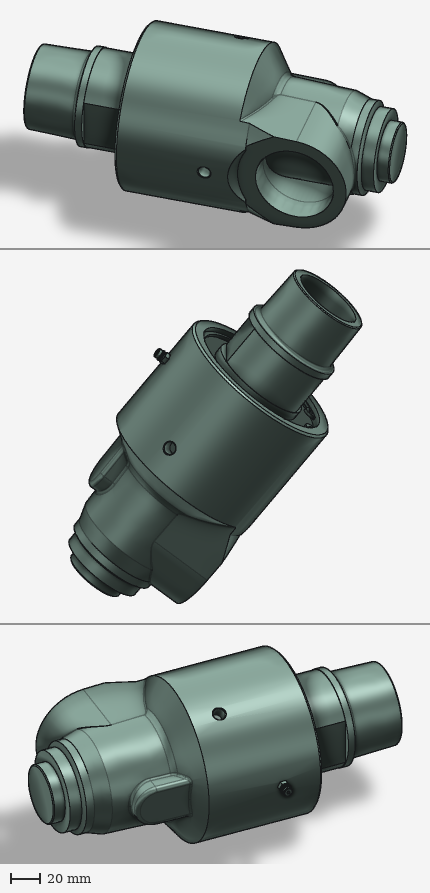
import cadquery as cq
import math

drum_radius = 117.5 / 2
drum_start = 73.2
drum_end = 158.0
drum_chamfer = 1.5

cone_rim = 123.3
neck_start = 173.0
neck_end = 220.0
neck_start_radius = 38.5
neck_end_radius = 36.7
neck_fillet = 5.7
shoulder_start = 231.7
shoulder_end = 237.5
shoulder_radius = 33.0
rear_collar_start = 239.4
rear_collar_end = 248.0
rear_collar_radius = 58.0 / 2
tail_end = 256.8
tail_radius = 21.0
edge_break = 0.8

nipple_tip_radius = 29.5
nipple_root = 35.2
nipple_root_radius = 30.5
root_fillet = 2.7
front_collar_end = 43.0
collar_radius = 69.5 / 2
shank_radius = 68.8 / 2
shank_end = 73.7
flat_offset = 29.8
bore_radius = 47.5 / 2

recess_radius = 100.2 / 2
recess_floor = 80.0
ring_start = 76.5
ring_thickness = 2.0
ring_inner_radius = 48.0
ring_inner_offset = 1.15
ring_gap_half_width = 10.3
lug_radius = 5.26
lug_y = -46.2
lug_z = ring_gap_half_width + lug_radius
lug_hole_diameter = 3.5
lug_hole_y = -45.5

port_x = 199.3
port_face_y = -53.5
port_radius = 36.7
port_taper = math.radians(2.2)
port_block_start = 141.3
port_block_depth = 66.8
port_blend_fillet = 1.3
port_bore_radius = 55.2 / 2
port_bore_inner_radius = 27.2
port_taper_depth = 16.7
port_floor_radius = 29.8
flare_start = 165.0
flare_slope = 0.32
face_relief_radius = 40.3

pad_x = 191.0
pad_radius = 15.5
pad_start = 154.0
pad_top_y = 47.0
pad_fall = math.radians(1.2)
pad_edge_fillet = 3.0
pad_root_fillet = 2.0

radial_hole_x = 137.0
radial_hole_diameter = 8.5
radial_hole_depth = 10.3
radial_hole_chamfer = 0.65
radial_hole_count = 3

fitting_x = 102.7
fitting_embed = 2.5
fitting_hex_across_corners = 8.5
fitting_hex_top = 62.0
fitting_neck_radius = 2.7
fitting_flange_radius = 3.9
fitting_flange_start = 63.2
fitting_flange_end = 64.2
fitting_head_start = 64.7
fitting_head_radius = 3.3
fitting_head_end = 67.5
fitting_chamfer = 0.5
fitting_tip_radius = 1.0
fitting_tip_end = 68.0

contact_tolerance = 0.003


def cylinder_x(radius, start, end):
    return cq.Workplane("YZ", origin=(start, 0, 0)).circle(radius).extrude(end - start)


def revolve_x(points):
    """Solid turned about X from (x, radius) points."""
    return cq.Workplane("XY").polyline(points).close().revolve(360, (0, 0, 0), (1, 0, 0))


def frustum_y(x, y_start, radius_start, y_end, radius_end):
    """Cone frustum about a line parallel to Y."""
    profile = cq.Workplane("XY").polyline(
        [(0, y_start), (radius_start, y_start), (radius_end, y_end), (0, y_end)]
    )
    return profile.close().revolve(360, (0, 0, 0), (0, 1, 0)).translate((x, 0, 0))


def lies_on(edge, solid):
    """True if a point along the edge touches a face of the solid."""
    point = cq.Vertex.makeVertex(*edge.positionAt(0.37).toTuple())
    return min(face.distance(point) for face in solid.faces().vals()) < contact_tolerance


def join_with_fillet(base, addition, radius, lowest_y):
    """Unite two solids and round the edges where they meet, leaving out edges at or below lowest_y."""
    joined = base.union(addition)
    seam = [
        edge
        for edge in joined.edges().vals()
        if lies_on(edge, base) and lies_on(edge, addition) and edge.BoundingBox().ymax > lowest_y
    ]
    return joined.newObject(seam).fillet(radius)


def turned_drum():
    return revolve_x([
        (drum_start, 0),
        (drum_start, drum_radius - drum_chamfer),
        (drum_start + drum_chamfer, drum_radius),
        (drum_end, drum_radius),
        (drum_end, 0),
    ])


def turned_neck():
    """Neck and tail, with the cone behind the drum carried on forwards to a wider rim."""
    cone_slope = (drum_radius - neck_start_radius) / (neck_start - drum_end)
    neck = revolve_x([
        (cone_rim, 0),
        (cone_rim, drum_radius + cone_slope * (drum_end - cone_rim)),
        (neck_start, neck_start_radius),
        (neck_end, neck_end_radius),
        (shoulder_start, shoulder_radius),
        (shoulder_end, shoulder_radius),
        (rear_collar_start, rear_collar_radius),
        (rear_collar_end, rear_collar_radius),
        (rear_collar_end, tail_radius),
        (tail_end - edge_break, tail_radius),
        (tail_end, tail_radius - edge_break),
        (tail_end, 0),
    ])
    neck_corner = cq.selectors.BoxSelector(
        (neck_start - 0.3, -drum_radius, -drum_radius), (neck_start + 0.3, drum_radius, drum_radius)
    )
    return neck.edges(neck_corner).fillet(neck_fillet)


def port_block():
    """Stadium block that narrows towards its round rear end, deeper than the port face."""
    tangent_x = port_x + port_radius * math.sin(port_taper)
    tangent_z = port_radius * math.cos(port_taper)
    start_z = tangent_z + (tangent_x - port_block_start) * math.tan(port_taper)
    outline = (
        cq.Workplane("XZ")
        .moveTo(port_block_start, -start_z)
        .lineTo(tangent_x, -tangent_z)
        .threePointArc((port_x + port_radius, 0), (tangent_x, tangent_z))
        .lineTo(port_block_start, start_z)
        .close()
    )
    return outline.extrude(port_block_depth)


def rear_envelope():
    """Space for the rear end: the drum radius, flaring past flare_start, cut off at the port face."""
    envelope = revolve_x([
        (drum_end, 0),
        (drum_end, drum_radius),
        (flare_start, drum_radius),
        (tail_end, drum_radius + flare_slope * (tail_end - flare_start)),
        (tail_end, 0),
    ])
    beyond_face = (
        cq.Workplane("XY")
        .box(tail_end - flare_start, port_block_depth, 4 * drum_radius, centered=(False, False, True))
        .translate((flare_start, port_face_y - port_block_depth, 0))
    )
    return envelope.cut(beyond_face)


def port_hole():
    """Tapered mouth and straight bore, ending on a cylinder about the X axis."""
    taper_end = port_face_y + port_taper_depth
    mouth = frustum_y(port_x, port_face_y, port_bore_radius, taper_end, port_bore_inner_radius)
    bore = frustum_y(port_x, taper_end, port_bore_inner_radius, 0, port_bore_inner_radius)
    return mouth.union(bore).cut(cylinder_x(port_floor_radius, drum_end, tail_end))


def neck_pad():
    """Raised pad with a round rear end and a top that falls slightly towards the rear."""
    pad_end = pad_x + pad_radius
    outline = (
        cq.Workplane("XZ")
        .moveTo(pad_start, -pad_radius)
        .lineTo(pad_x, -pad_radius)
        .threePointArc((pad_end, 0), (pad_x, pad_radius))
        .lineTo(pad_start, pad_radius)
        .close()
        .extrude(-drum_radius)
    )
    fall = math.tan(pad_fall) * (pad_end - pad_start)
    slab = (
        cq.Workplane("XY", origin=(0, 0, -drum_radius))
        .polyline([(pad_start, 0), (pad_start, pad_top_y), (pad_end, pad_top_y - fall), (pad_end, 0)])
        .close()
        .extrude(2 * drum_radius)
    )
    pad = outline.intersect(slab)
    return pad.faces(">Y").edges("not <X").fillet(pad_edge_fillet)


def nipple():
    """Tapered nipple, collar and shank with two wrench flats."""
    collar_start = nipple_root + root_fillet
    arc_shift = root_fillet * math.sqrt(0.5)
    profile = (
        cq.Workplane("XY")
        .moveTo(0, 0)
        .lineTo(0, nipple_tip_radius - edge_break)
        .lineTo(edge_break, nipple_tip_radius)
        .lineTo(nipple_root, nipple_root_radius)
        .threePointArc(
            (nipple_root + arc_shift, nipple_root_radius + root_fillet - arc_shift),
            (collar_start, nipple_root_radius + root_fillet),
        )
        .lineTo(collar_start, collar_radius)
        .lineTo(front_collar_end, collar_radius)
        .lineTo(front_collar_end, shank_radius)
        .lineTo(shank_end, shank_radius)
        .lineTo(shank_end, collar_radius)
        .lineTo(recess_floor, collar_radius)
        .lineTo(recess_floor, 0)
        .close()
    )
    turned = profile.revolve(360, (0, 0, 0), (1, 0, 0))
    flat_length = shank_end - front_collar_end
    for side in (1, -1):
        flat = cq.Workplane("XY").box(flat_length, collar_radius, 2 * collar_radius)
        flat_y = side * (flat_offset + collar_radius / 2)
        turned = turned.cut(flat.translate((front_collar_end + flat_length / 2, flat_y, 0)))
    return turned


def retaining_ring():
    """Split ring with an off-centre inner edge and two drilled lugs beside the gap."""
    ring_end = ring_start + ring_thickness
    disc = cylinder_x(recess_radius, ring_start, ring_end)
    inside = cylinder_x(ring_inner_radius, ring_start, ring_end).translate((0, -ring_inner_offset, 0))
    ring = disc.cut(inside)
    for side in (1, -1):
        lug = cylinder_x(lug_radius, ring_start, ring_end).translate((0, lug_y, side * lug_z))
        ring = ring.union(lug.intersect(disc))
    for side in (1, -1):
        hole = cylinder_x(lug_hole_diameter / 2, ring_start, ring_end)
        ring = ring.cut(hole.translate((0, lug_hole_y, side * lug_z)))
    gap = cq.Workplane("XY").box(2 * ring_thickness, recess_radius, 2 * ring_gap_half_width)
    return ring.cut(gap.translate((ring_start, -recess_radius, 0)))


def radial_holes():
    """Blind holes with chamfered mouths, evenly spaced around the drum from -Y."""
    hole_radius = radial_hole_diameter / 2
    shaft = frustum_y(
        radial_hole_x, -drum_radius, hole_radius, radial_hole_depth - drum_radius, hole_radius
    )
    mouth = frustum_y(
        radial_hole_x,
        -drum_radius, hole_radius + radial_hole_chamfer,
        radial_hole_chamfer - drum_radius, hole_radius,
    )
    hole = shaft.union(mouth)
    holes = hole
    for index in range(1, radial_hole_count):
        holes = holes.union(hole.rotate((0, 0, 0), (1, 0, 0), index * 360 / radial_hole_count))
    return holes


def grease_fitting():
    """Hexagon base carrying a turned stem with a flange, a head and a small tip."""
    base_y = drum_radius - fitting_embed
    hexagon = (
        cq.Workplane("XZ", origin=(0, base_y, 0))
        .polygon(6, fitting_hex_across_corners)
        .extrude(base_y - fitting_hex_top)
    )
    turned = (
        cq.Workplane("XY")
        .polyline([
            (0, base_y),
            (fitting_neck_radius, base_y),
            (fitting_neck_radius, fitting_flange_start),
            (fitting_flange_radius, fitting_flange_start),
            (fitting_flange_radius, fitting_flange_end),
            (fitting_neck_radius, fitting_flange_end),
            (fitting_neck_radius, fitting_head_start),
            (fitting_head_radius, fitting_head_start),
            (fitting_head_radius, fitting_head_end - fitting_chamfer),
            (fitting_head_radius - fitting_chamfer, fitting_head_end),
            (fitting_tip_radius, fitting_head_end),
            (fitting_tip_radius, fitting_tip_end),
            (0, fitting_tip_end),
        ])
        .close()
        .revolve(360, (0, 0, 0), (0, 1, 0))
    )
    return hexagon.union(turned).translate((fitting_x, 0, 0))


neck = turned_neck()
block = port_block()
rear = join_with_fillet(neck, neck_pad(), pad_root_fillet, 0)
block_seam_limit = 0.3 - port_block_depth
joined = rear.union(block)
block_seam = [
    edge
    for edge in joined.edges().vals()
    if lies_on(edge, neck) and lies_on(edge, block) and edge.BoundingBox().ymax > block_seam_limit
]
rear = joined.newObject(block_seam).fillet(port_blend_fillet)
body = turned_drum().union(rear.intersect(rear_envelope()))

relief_height = drum_radius + port_face_y
body = body.cut(
    frustum_y(port_x, port_face_y, face_relief_radius, -drum_radius, face_relief_radius + relief_height)
)

body = body.cut(cylinder_x(recess_radius, drum_start, recess_floor))
body = body.union(nipple()).union(retaining_ring())

body = body.cut(cylinder_x(bore_radius, 0, drum_end))
body = body.cut(port_hole())

body = body.cut(radial_holes())
result = body.union(grease_fitting())